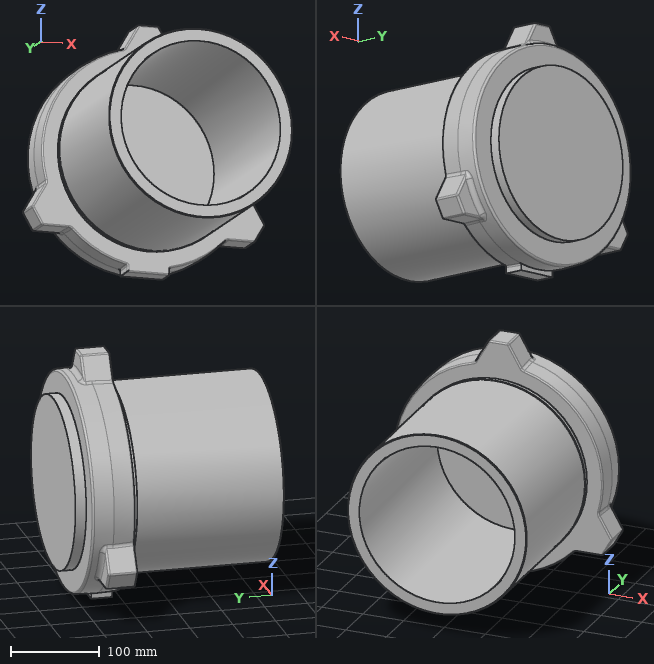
import cadquery as cq
import math


pipe_radius = 109.7
bore_radius = 95.3
neck_radius = 108.8
spigot_radius = 100.5
neck_length = 7.2
pipe_length = 171.3
spigot_length = 12.7
pipe_end_chamfer = 1.0
floor_thickness = pipe_radius - bore_radius

flange_thickness = 50.0
parting_y = 25.0
flange_radius = 128.7
draft_angle = 2.0
edge_fillet = 2.5
front_fillet = 1.7

lug_count = 3
lug_reach = 154.0
lug_tip_half_width = 12.0
lug_flank_angle = 30.0
lug_depth = 34.5
lug_back_fillet = 2.3
lug_root_fillet = 5.8
lug_root_reach = flange_radius / 3

pad_reach = 134.0
pad_half_width = 25.3
pad_depth = parting_y
pad_root_fillet = 2.0

root_depth = 8.5

pipe_end_y = -(neck_length + pipe_length)
spigot_end_y = flange_thickness + spigot_length


def cylinder(radius, start_y, end_y):
    """Solid cylinder on the Y axis between two Y positions."""
    return cq.Workplane("XZ", origin=(0, start_y, 0)).circle(radius).extrude(start_y - end_y)


def make_flange():
    """Disc that tapers from the parting plane towards both faces."""
    slope = math.tan(math.radians(draft_angle))
    front_radius = flange_radius - parting_y * slope
    back_radius = flange_radius - (flange_thickness - parting_y) * slope
    profile = [
        (0, 0),
        (front_radius, 0),
        (flange_radius, parting_y),
        (back_radius, flange_thickness),
        (0, flange_thickness),
    ]
    disc = cq.Workplane("XY").polyline(profile).close().revolve(360, (0, 0, 0), (0, 1, 0))
    return disc.faces(">Y").edges().fillet(edge_fillet)


def make_lug():
    """Tapered lug pointing along +Z, with its flanks running into the flange."""
    root_z = pipe_radius
    root_half_width = lug_tip_half_width + (lug_reach - root_z) * math.tan(math.radians(lug_flank_angle))
    outline = [
        (-root_half_width, root_z),
        (-lug_tip_half_width, lug_reach),
        (lug_tip_half_width, lug_reach),
        (root_half_width, root_z),
    ]
    lug = cq.Workplane("XZ").polyline(outline).close().extrude(-lug_depth)
    lug = lug.faces(">Z").edges("|Y").fillet(edge_fillet)
    back_edges = lug.faces(">Y").edges("not <Z")
    return back_edges.fillet(lug_back_fillet)


def make_pad():
    """Shallow rectangular pad at the bottom of the flange."""
    height = pad_reach - pipe_radius
    pad = cq.Workplane("XZ").center(0, -pad_reach + height / 2)
    return pad.rect(2 * pad_half_width, height).extrude(-pad_depth)


def root_edges(half_width, depth, side):
    """Selector for the edges where a projection on the +Z (1) or -Z (-1) side meets the flange rim."""
    return cq.selectors.BoxSelector(
        (-half_width, edge_fillet / 2, side * (flange_radius - root_depth)),
        (half_width, depth, side * (flange_radius + edge_fillet)),
    )


def make_collar():
    """Flange with its lugs and pad blended in and the outline of its front face rounded."""
    collar = make_flange()
    lug = make_lug()
    lug_roots = root_edges(lug_root_reach, lug_depth + edge_fillet, 1)
    for _ in range(lug_count):
        collar = collar.union(lug).edges(lug_roots).fillet(lug_root_fillet)
        collar = collar.rotate((0, 0, 0), (0, 1, 0), 360 / lug_count)
    pad_roots = root_edges(pad_half_width + edge_fillet, pad_depth - edge_fillet, -1)
    collar = collar.union(make_pad()).edges(pad_roots).fillet(pad_root_fillet)
    return collar.faces("<Y").edges().fillet(front_fillet)


def make_tube():
    """Pipe, neck and spigot in one turned body."""
    pipe = cylinder(pipe_radius, pipe_end_y, -neck_length)
    pipe = pipe.faces("<Y").edges().chamfer(pipe_end_chamfer)
    neck = cylinder(neck_radius, -neck_length, 0)
    spigot = cylinder(spigot_radius, 0, spigot_end_y)
    return pipe.union(neck).union(spigot)


bore = cylinder(bore_radius, pipe_end_y, spigot_end_y - floor_thickness)
result = make_tube().union(make_collar()).cut(bore)